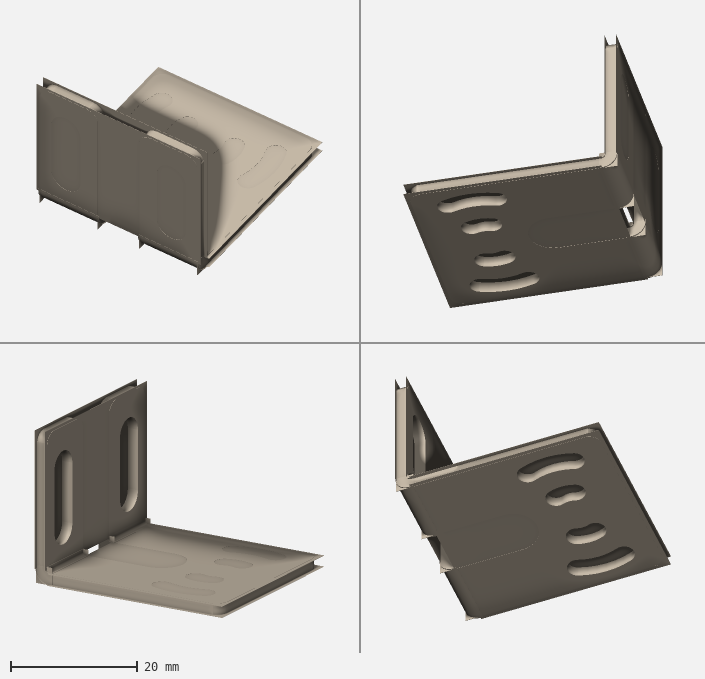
import cadquery as cq
import math

core_width = 29.9
core_length = 34.05
core_height = 25.0
sheet_width = 31.2
sheet_length = 34.7
sheet_height = 25.5

thickness = 2.0
layer = 0.05
bend_radius = 2.45
corner_radius = 2.0

gap_width = 8.0
gap_length = 18.07
leg_width = (core_width - gap_width) / 2
leg_center = (core_width + gap_width) / 4

leg_slot_width = 5.48
leg_slot_height = 15.55
leg_slot_spacing = 20.0
leg_slot_z = 13.15

pivot_y = 24.65
curved_slot_radii = (4.72, 11.5)
curved_slot_width = 3.4
curved_slot_half_angle = 20.0

bend_tail = 0.5
strip_overhang = 0.28
bend_reach = bend_radius + bend_tail

edge_sheet = layer
flap_thickness = 2 * layer
leg_side_overrun = 0.4
leg_top_overrun = 0.15
plate_side_overrun = 0.6


def block(x_range, y_range, z_range):
    """Box between the given limits."""
    limits = (x_range, y_range, z_range)
    sizes = [high - low for low, high in limits]
    corner = tuple(low for low, high in limits)
    return cq.Workplane("XY").box(*sizes, centered=False).translate(corner)


def centered(width, middle=0.0):
    """Limits of a span of the given width."""
    return (middle - width / 2, middle + width / 2)


def bend_layer(outer_depth, inner_depth, tail, width, middle):
    """Quarter bend between two depths below the outer face, with straight tails at both ends."""
    center = bend_radius
    end = bend_radius + tail
    diagonal = math.sqrt(0.5)
    outer_mid = center - (bend_radius - outer_depth) * diagonal
    inner_mid = center - (bend_radius - inner_depth) * diagonal
    profile = cq.Workplane("YZ", origin=(middle - width / 2, 0, 0)).moveTo(center, outer_depth)
    profile = profile.threePointArc((outer_mid, outer_mid), (outer_depth, center))
    if tail:
        profile = profile.lineTo(outer_depth, end)
    profile = profile.lineTo(inner_depth, end)
    if tail:
        profile = profile.lineTo(inner_depth, center)
    profile = profile.threePointArc((inner_mid, inner_mid), (center, inner_depth))
    if tail:
        profile = profile.lineTo(end, inner_depth)
    profile = profile.lineTo(end, outer_depth)
    return profile.close().extrude(width)


def plate_core():
    """Flat plate with rounded rear corners and the round-ended central opening."""
    core = block(centered(core_width), (bend_radius, core_length), (layer, thickness - layer))
    core = core.edges("|Z and >Y").fillet(corner_radius)
    gap_end_y = gap_length - gap_width / 2
    opening = block(centered(gap_width), (0, gap_end_y), (0, thickness))
    round_end = cq.Workplane("XY").center(0, gap_end_y).circle(gap_width / 2).extrude(thickness)
    return core.cut(opening).cut(round_end)


def leg_core(middle):
    """Upright leg with rounded top corners."""
    leg = block(centered(leg_width, middle), (layer, thickness - layer), (bend_radius, core_height))
    return leg.edges("|Y and >Z").fillet(corner_radius)


def plate_sheet(depth):
    """Horizontal skin sheet whose lower face is at the given height."""
    return block(centered(sheet_width), (bend_radius, sheet_length), (depth, depth + layer))


def leg_sheet(depth):
    """Vertical skin sheet across both legs whose front face is at the given y."""
    return block(centered(sheet_width), (depth, depth + layer), (bend_radius, sheet_height))


def curved_slot(radius, side):
    """Slot cutter along an arc about the pivot, on the -X (-1) or +X (+1) side."""
    half_angle = math.radians(curved_slot_half_angle)
    inner = radius - curved_slot_width / 2
    outer = radius + curved_slot_width / 2

    def at(distance, angle):
        return (side * distance * math.cos(angle), pivot_y + distance * math.sin(angle))

    cap_angle = half_angle + math.pi / 2
    cap_x, cap_y = at(radius, half_angle)
    cap_dx = side * math.cos(cap_angle) * curved_slot_width / 2
    cap_dy = math.sin(cap_angle) * curved_slot_width / 2
    upper_tip = (cap_x + cap_dx, cap_y + cap_dy)
    lower_tip = (upper_tip[0], 2 * pivot_y - upper_tip[1])
    outline = cq.Workplane("XY").moveTo(*at(outer, -half_angle))
    outline = outline.threePointArc(at(outer, 0), at(outer, half_angle))
    outline = outline.threePointArc(upper_tip, at(inner, half_angle))
    outline = outline.threePointArc(at(inner, 0), at(inner, -half_angle))
    outline = outline.threePointArc(lower_tip, at(outer, -half_angle))
    return outline.close().extrude(thickness)


def leg_slot(middle):
    """Upright slot cutter through a leg."""
    plane = cq.Workplane("XZ").center(middle, leg_slot_z)
    return plane.slot2D(leg_slot_height, leg_slot_width, 90).extrude(-thickness)


def end_flap(x_start):
    """Thin square beside the bend at one end of a leg."""
    return block((x_start, x_start + flap_thickness), (0, bend_reach), (0, bend_reach))


def leg_edge_sheets(middle):
    """Thin sheets on the two sides and the top of a leg."""
    left, right = centered(leg_width, middle)
    y_range = (layer, thickness - layer)
    side_z_range = (bend_radius, core_height - corner_radius + leg_side_overrun)
    top_x_range = centered(leg_width - 2 * (corner_radius - leg_top_overrun), middle)
    left_sheet = block((left - edge_sheet, left), y_range, side_z_range)
    right_sheet = block((right, right + edge_sheet), y_range, side_z_range)
    top_sheet = block(top_x_range, y_range, (core_height, core_height + edge_sheet))
    return left_sheet.union(right_sheet).union(top_sheet)


def plate_edge_sheet(side):
    """Thin sheet on the outer side of the plate, on the -X (-1) or +X (+1) side."""
    x_range = centered(edge_sheet, side * (core_width + edge_sheet) / 2)
    y_range = (bend_radius, core_length - corner_radius + plate_side_overrun)
    return block(x_range, y_range, (layer, thickness - layer))


body = plate_core()
for side in (-1, 1):
    middle = side * leg_center
    body = body.union(leg_core(middle))
    body = body.union(bend_layer(layer, thickness - layer, 0, leg_width, middle))

body = body.union(plate_sheet(2 * layer))
body = body.union(leg_sheet(thickness - 3 * layer))
for side in (-1, 1):
    body = body.cut(leg_slot(side * leg_slot_spacing / 2))
    for radius in curved_slot_radii:
        body = body.cut(curved_slot(radius, side))

body = body.union(plate_sheet(thickness - 3 * layer))
body = body.union(leg_sheet(2 * layer))

for side in (-1, 1):
    middle = side * leg_center
    strip_width = leg_width + 2 * strip_overhang
    body = body.union(bend_layer(0, layer, bend_tail, strip_width, middle))
    body = body.union(bend_layer(thickness - layer, thickness, bend_tail, strip_width, middle))
    body = body.union(end_flap(middle - leg_width / 2 - flap_thickness))
    body = body.union(end_flap(middle + leg_width / 2))
    body = body.union(leg_edge_sheets(middle))
    body = body.union(plate_edge_sheet(side))

result = body